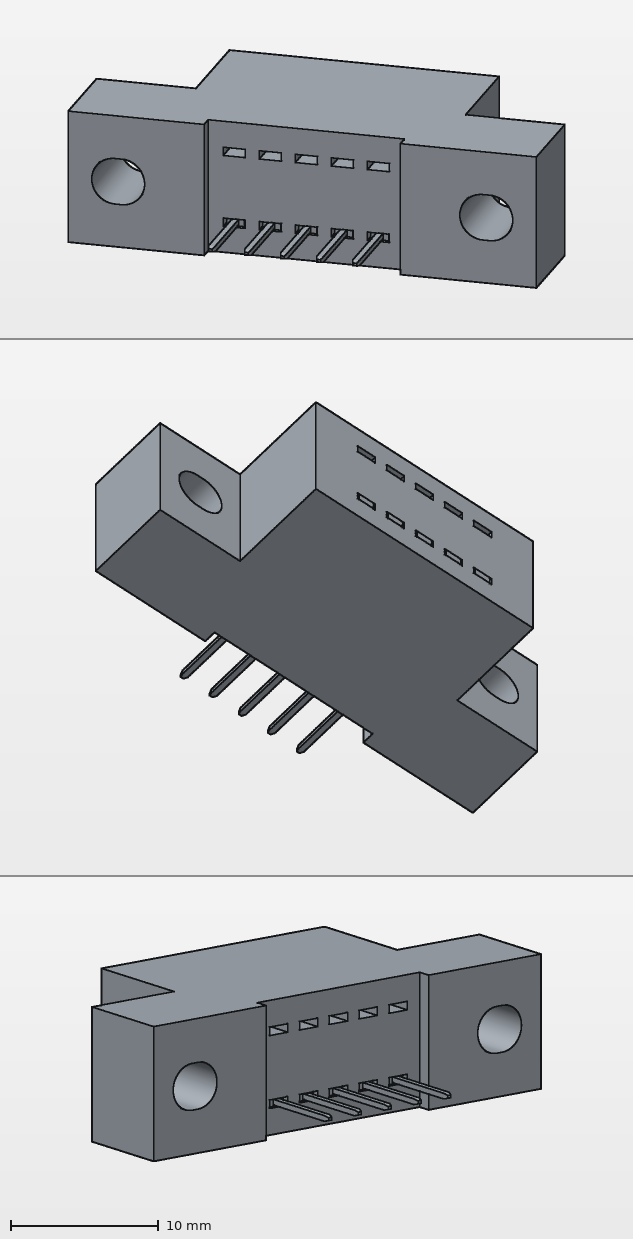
import cadquery as cq

flange_width = 33.02
flange_depth = 6.87
block_width = 19.02
housing_depth = 14.95
housing_height = 9.4
recess_width = 13.85
recess_depth = 1.0

mount_hole_offset = 12.98
mount_hole_length = 3.73
mount_hole_height = 3.27

contact_count = 5
contact_pitch = 2.55
row_offset = 2.55
opening_width = 1.55
opening_height = 0.6

blade_width = 1.25
blade_setback = 0.33
pin_width = 0.45
pin_height = 0.4
pin_reach = 4.72
tip_length = 0.33
tip_width = 0.25
tip_height = 0.2

contact_xs = [(i - (contact_count - 1) / 2) * contact_pitch for i in range(contact_count)]


def box(width, y_front, y_back, height):
    """A box centred on X and Z that spans y_front to y_back."""
    return (
        cq.Workplane("XY")
        .box(width, y_back - y_front, height)
        .translate((0, (y_front + y_back) / 2, 0))
    )


def make_housing():
    flange = box(flange_width, 0, flange_depth, housing_height)
    block = box(block_width, 0, housing_depth, housing_height)
    recess = box(recess_width, 0, recess_depth, housing_height)
    body = flange.union(block).cut(recess)

    mount_holes = (
        cq.Workplane("XZ")
        .pushPoints([(-mount_hole_offset, 0), (mount_hole_offset, 0)])
        .slot2D(mount_hole_length, mount_hole_height)
        .extrude(-flange_depth)
    )
    openings = (
        cq.Workplane("XZ")
        .pushPoints([(x, z) for x in contact_xs for z in (-row_offset, row_offset)])
        .rect(opening_width, opening_height)
        .extrude(-housing_depth)
    )
    return body.cut(mount_holes).cut(openings)


def make_contact(x):
    blade_front = recess_depth + blade_setback
    shank_front = tip_length - pin_reach
    blade = box(blade_width, blade_front, housing_depth, opening_height)
    shank = box(pin_width, shank_front, blade_front, pin_height)
    tip = (
        cq.Workplane("XZ", origin=(0, shank_front, 0))
        .rect(pin_width, pin_height)
        .workplane(offset=tip_length)
        .rect(tip_width, tip_height)
        .loft(ruled=True)
    )
    return blade.union(shank).union(tip).translate((x, 0, -row_offset))


housing = make_housing()
contacts = [make_contact(x) for x in contact_xs]

result = cq.Compound.makeCompound([housing.val(), *[contact.val() for contact in contacts]])